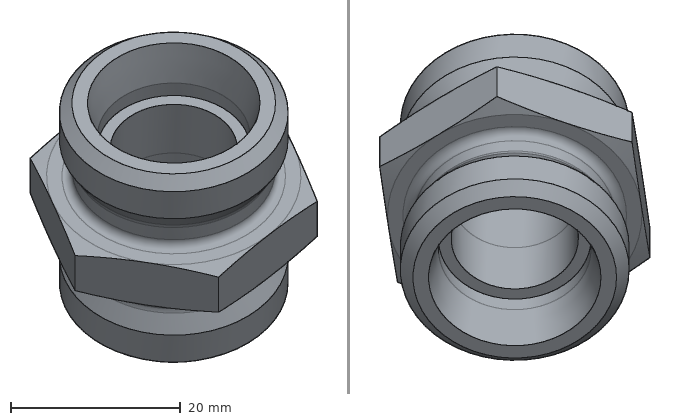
import cadquery as cq
import math

across_flats = 30.0
hex_height = 7.0
hex_chamfer_angle = 15.0
corner_clearance = 0.35
across_corners = across_flats / math.cos(math.radians(30))

total_height = 31.0
end_diameter = 27.0
groove_diameter = 24.0
end_chamfer = (end_diameter - groove_diameter) / 2
band_length = 5.92
relief_cone_length = 2.6
groove_fillet = 1.18

through_diameter = 15.0
socket_diameter = 18.0
mouth_diameter = 20.35
mouth_half_angle = 12.0
socket_depth = 7.5
mouth_depth = (mouth_diameter - socket_diameter) / 2 / math.tan(math.radians(mouth_half_angle))

half_height = total_height / 2
half_hex = hex_height / 2


def revolve_outline(points):
    """Revolve a closed (radius, height) outline about the Z axis."""
    return cq.Workplane("XZ").polyline(points).close().revolve(360, (0, 0, 0), (0, 1, 0))


def fillet_circle(body, level, radius):
    """Round the full circular edge centred on the Z axis at the given height."""
    reach = 0.05
    centre_box = cq.selectors.BoxSelector((-reach, -reach, level - reach), (reach, reach, level + reach))
    return body.edges("%CIRCLE").edges(centre_box).fillet(radius)


def make_collar():
    """Hexagon with flats facing X and its corners chamfered on both faces."""
    prism = (
        cq.Workplane("XY")
        .polygon(6, across_corners)
        .extrude(hex_height)
        .rotate((0, 0, 0), (0, 0, 1), 30)
        .translate((0, 0, -half_hex))
    )
    flat_radius = across_flats / 2
    rim_radius = across_corners / 2 + corner_clearance
    rim_height = half_hex - (rim_radius - flat_radius) * math.tan(math.radians(hex_chamfer_angle))
    envelope = revolve_outline([
        (0, -half_hex),
        (flat_radius, -half_hex),
        (rim_radius, -rim_height),
        (rim_radius, rim_height),
        (flat_radius, half_hex),
        (0, half_hex),
    ])
    return prism.intersect(envelope)


def make_end():
    """Upper threaded end: chamfered band, relief cone and groove."""
    end_radius = end_diameter / 2
    groove_radius = groove_diameter / 2
    band_bottom = half_height - band_length
    cone_bottom = band_bottom - relief_cone_length
    end = revolve_outline([
        (0, 0),
        (groove_radius, 0),
        (groove_radius, cone_bottom),
        (end_radius, band_bottom),
        (end_radius, half_height - end_chamfer),
        (end_radius - end_chamfer, half_height),
        (0, half_height),
    ])
    return fillet_circle(end, cone_bottom, groove_fillet)


def make_socket():
    """Upper tube socket: tapered mouth, then a cylinder down to the shoulder."""
    return revolve_outline([
        (0, half_height - socket_depth),
        (socket_diameter / 2, half_height - socket_depth),
        (socket_diameter / 2, half_height - mouth_depth),
        (mouth_diameter / 2, half_height),
        (0, half_height),
    ])


def add_collar_fillets(body):
    """Round the two inside corners where the grooves meet the collar."""
    for level in (-half_hex, half_hex):
        body = fillet_circle(body, level, groove_fillet)
    return body


end = make_end()
body = make_collar().union(end).union(end.mirror("XY"))
body = add_collar_fillets(body)

socket = make_socket()
through_bore = cq.Workplane("XY").circle(through_diameter / 2).extrude(half_height, both=True)
result = body.cut(socket).cut(socket.mirror("XY")).cut(through_bore)